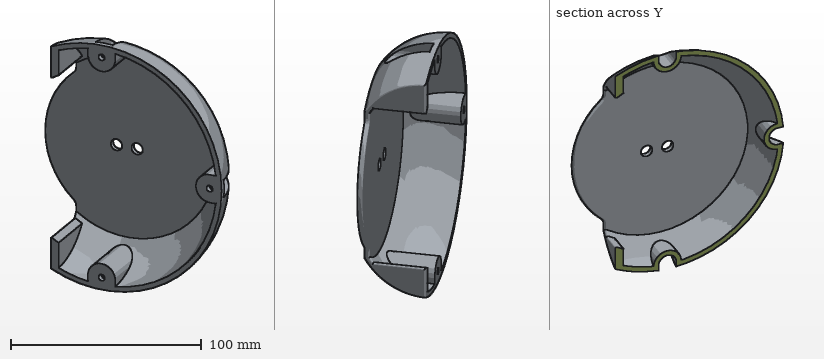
import cadquery as cq
import math

rim_radius = 70.0
depth = 33.0
wall = 3.0
dome_arc_radius = 40.0
arc_center = rim_radius - dome_arc_radius

flat_x = -30.0
end_wall_thickness = 4.9
opening_radius = 54.0
tongue_radius = 48.0
tongue_corner_radius = 4.2
edge_radius = 1.0

boss_center_radius = 63.0
boss_radius = 8.0
screw_hole_diameter = 3.5
head_bore_diameter = 9.8
head_seat_thickness = 3.4
boss_angles = (-90, 0, 90)

floor_hole_diameter = 6.5
floor_hole_spacing = 12.0

pick_margin = 0.1


def cylinder(radius, start_y, end_y, x=0):
    """Cylinder along +Y."""
    return cq.Workplane(cq.Solid.makeCylinder(
        radius, end_y - start_y, cq.Vector(x, start_y, 0), cq.Vector(0, 1, 0)))


def dome(arc_radius, height):
    """Solid of revolution about Y, bounded by an arc square to the rim plane."""
    def arc_point(y):
        return arc_center + math.sqrt(arc_radius**2 - y**2), y

    profile = (
        cq.Workplane("XY")
        .lineTo(*arc_point(0))
        .threePointArc(arc_point(height / 2), arc_point(height))
        .lineTo(0, height)
        .close()
    )
    return profile.revolve(360, (0, 0, 0), (0, 1, 0))


def slab(start_x, end_x):
    """Block across the whole part between two X positions."""
    return cq.Workplane("XY").box(
        end_x - start_x, depth, 2 * rim_radius, centered=(False, False, True)
    ).translate((start_x, 0, 0))


def radial_slot(nose_radius, start_y):
    """Column at the +X boss position: round on the inside, straight-sided out to the rim radius."""
    straight = cq.Workplane("XY").box(
        rim_radius - boss_center_radius, depth - start_y, 2 * nose_radius, centered=(False, False, True)
    ).translate((boss_center_radius, start_y, 0))
    return cylinder(nose_radius, start_y, depth, boss_center_radius).union(straight)


def boss(angle):
    """Round-nosed boss that runs radially outward into the shell."""
    return radial_slot(boss_radius, 0).rotate((0, 0, 0), (0, 1, 0), angle)


def screw_cut(angle):
    """Screw hole with a head bore and a slot open to the outside of the dome."""
    hole = cylinder(screw_hole_diameter / 2, 0, depth, boss_center_radius)
    head = radial_slot(head_bore_diameter / 2, head_seat_thickness)
    return hole.union(head).rotate((0, 0, 0), (0, 1, 0), angle)


outer = dome(dome_arc_radius, depth)
cavity = dome(dome_arc_radius - wall, depth - wall)

body = outer.cut(cavity).intersect(slab(flat_x, rim_radius))

end_wall = cavity.intersect(slab(flat_x, flat_x + end_wall_thickness))
end_wall = end_wall.cut(cylinder(opening_radius, 0, depth - wall))
body = body.union(end_wall)

tongue = cylinder(tongue_radius, depth - wall, depth)
body = body.union(tongue)
corner_z = math.sqrt(tongue_radius**2 - flat_x**2)
for z in (-corner_z, corner_z):
    corner_box = cq.selectors.BoxSelector(
        (flat_x - pick_margin, 0, z - pick_margin),
        (flat_x + pick_margin, depth, z + pick_margin),
    )
    body = body.edges("|Y").edges(corner_box).fillet(tongue_corner_radius)

flat_side = cq.selectors.BoxSelector(
    (-rim_radius, -pick_margin, -rim_radius),
    (flat_x + pick_margin, depth + pick_margin, rim_radius),
    boundingbox=True,
)
outline_edges = body.edges(flat_side).edges("not |Y").vals()
straight_edges = body.edges(flat_side).edges("|Y").vals()
opening_edges = [edge for edge in straight_edges if edge.Length() > 2 * wall]
body = body.newObject(outline_edges + opening_edges).fillet(edge_radius)

for angle in boss_angles:
    body = body.union(boss(angle).intersect(cavity))
for angle in boss_angles:
    body = body.cut(screw_cut(angle))

for x in (-floor_hole_spacing / 2, floor_hole_spacing / 2):
    body = body.cut(cylinder(floor_hole_diameter / 2, 0, depth, x))

result = body